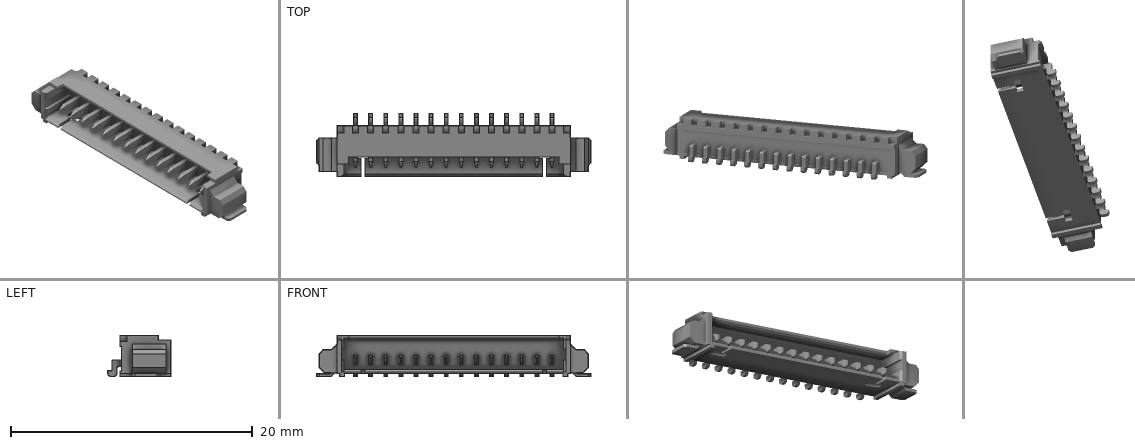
import cadquery as cq
import math


overall_width = 22.65
overall_depth = 5.2
overall_height = 3.4

housing_half_width = 9.65
housing_depth = 4.21
housing_bottom = 0.25
floor_top = 0.6
cavity_half_width = 9.05
cavity_back = 2.92
ceiling = 3.04
mouth_chamfer = 0.2
lip_chamfer = 0.15
roof_front = 1.6
cheek_front = 1.02
cheek_inner_half_width = 8.7

groove_bottom = 1.35
groove_top = 2.29
groove_depth = 0.2

rear_recess_depth = 0.14
rear_recess_bottom = 0.48
rear_recess_top = 2.5
notch_depth = 0.61
notch_floor = 2.9
notch_width = 0.5
corner_notch_width = 0.57

contact_count = 14
contact_row_length = 16.25
contact_pitch = contact_row_length / (contact_count - 1)
contact_width = 0.32
blade_bottom = 0.97
blade_top = 1.75
tip_front = 0.75
tip_length = 0.48
tip_width = 0.1
tip_taper_height = 0.18
lead_top = 1.38
lead_bottom = 0.82
lead_leg_front = 4.45
lead_leg_back = 4.87
lead_foot_top = 0.5
lead_foot_radius = 0.27
lead_bend_radius = 0.14

slot_width = 0.32
slot_back = 1.5
slot_head_width = 1.25
slot_head_length = 0.6

wing_front = 0.4
wing_back = 3.17
wing_bottom = 0.3
wing_half_width = 11.12
wing_shoulder_x = 10.12
wing_crest_x = 10.8
wing_root_top = 2.67
wing_crest_z = 2.22
wing_face_top = 1.85
wing_face_bottom = 0.75
wing_underside_x = 10.67
tab_front = 0.9
tab_back = 3.2
tab_thickness = 0.25
tab_chamfer = 0.23
tab_bend_x = 10.15
tab_bend_rise = 0.25
rail_outer_x = 9.42
rail_inner_x = 9.01

contact_xs = [i * contact_pitch - contact_row_length / 2 for i in range(contact_count)]
slot_x = (contact_xs[-1] + contact_xs[-2]) / 2


def block(x0, x1, y0, y1, z0, z1):
    """Axis-aligned box between two opposite corners."""
    return cq.Workplane("XY").box(x1 - x0, y1 - y0, z1 - z0, centered=False).translate((x0, y0, z0))


def side_profile(points, half_width):
    """Outline of (Y, Z) points, extruded evenly to both sides of X = 0."""
    return cq.Workplane("YZ").polyline(points).close().extrude(half_width, both=True)


def front_profile(points, y0, y1):
    """Outline of (X, Z) points, extruded from y0 to y1."""
    return cq.Workplane("XZ", origin=(0, y0, 0)).polyline(points).close().extrude(y0 - y1)


def both_sides(shape):
    """The shape together with its mirror image across X = 0."""
    return shape.union(shape.mirror("YZ"))


def make_shell():
    """Hollow housing with a bevelled mouth and a set-back roof."""
    shell = block(-housing_half_width, housing_half_width, 0, housing_depth, housing_bottom, overall_height)
    cavity = block(-cavity_half_width, cavity_half_width, 0, cavity_back, floor_top, ceiling)
    shell = shell.cut(cavity)

    floor_bevel = side_profile(
        [(0, floor_top - mouth_chamfer), (mouth_chamfer, floor_top), (0, floor_top)], cavity_half_width
    )
    wall_bevel = (
        cq.Workplane("XY", origin=(0, 0, floor_top - mouth_chamfer))
        .polyline([
            (cavity_half_width, 0),
            (cavity_half_width + mouth_chamfer, 0),
            (cavity_half_width, mouth_chamfer),
        ])
        .close()
        .extrude(ceiling - floor_top + mouth_chamfer)
    )
    shell = shell.cut(floor_bevel).cut(both_sides(wall_bevel))

    shell = shell.cut(block(-housing_half_width, housing_half_width, 0, cheek_front, ceiling, overall_height))
    shell = shell.cut(
        block(-cheek_inner_half_width, cheek_inner_half_width, 0, roof_front, ceiling, overall_height)
    )

    for lip_front, half_width in ((cheek_front, cavity_half_width), (roof_front, cheek_inner_half_width)):
        lip_bevel = side_profile(
            [(lip_front, ceiling), (lip_front + lip_chamfer, ceiling), (lip_front, ceiling + lip_chamfer)],
            half_width,
        )
        shell = shell.cut(lip_bevel)
    return shell


def cut_grooves(body):
    """Groove along the inner face of each side wall."""
    groove = block(
        cavity_half_width, cavity_half_width + groove_depth, 0, cavity_back, groove_bottom, groove_top
    )
    return body.cut(both_sides(groove))


def cut_rear(body):
    """Shallow recess across the rear face, and notches along the rear edge of the roof."""
    body = body.cut(block(
        -housing_half_width, housing_half_width,
        housing_depth - rear_recess_depth, housing_depth,
        rear_recess_bottom, rear_recess_top,
    ))
    notch_front = housing_depth - notch_depth
    for x in contact_xs:
        body = body.cut(block(
            x - notch_width / 2, x + notch_width / 2, notch_front, housing_depth, notch_floor, overall_height
        ))
    corner_notch = block(
        housing_half_width - corner_notch_width, housing_half_width,
        notch_front, housing_depth, notch_floor, overall_height,
    )
    return body.cut(both_sides(corner_notch))


def cut_floor_slots(body):
    """T-shaped slots through the floor, open at the mouth."""
    stem = block(slot_x - slot_width / 2, slot_x + slot_width / 2, 0, slot_back, housing_bottom, floor_top)
    head = block(
        slot_x - slot_head_width / 2, slot_x + slot_head_width / 2,
        slot_back, slot_back + slot_head_length, housing_bottom, floor_top,
    )
    return body.cut(both_sides(stem.union(head)))


def make_wing():
    """Bevelled wing on the +X side."""
    return front_profile(
        [
            (housing_half_width, wing_bottom),
            (wing_underside_x, wing_bottom),
            (wing_half_width, wing_face_bottom),
            (wing_half_width, wing_face_top),
            (wing_crest_x, wing_crest_z),
            (wing_shoulder_x, wing_crest_z),
            (housing_half_width, wing_root_top),
        ],
        wing_front,
        wing_back,
    )


def make_tab():
    """Solder tab below the +X wing, bent up 45 degrees into it, with its outer corners cut off."""
    bend_top_x = tab_bend_x + tab_thickness * math.tan(math.radians(45 / 2))
    bend_end_z = tab_thickness + tab_bend_rise
    tab = front_profile(
        [
            (tab_bend_x, 0),
            (overall_width / 2, 0),
            (overall_width / 2, tab_thickness),
            (bend_top_x, tab_thickness),
            (bend_top_x - tab_bend_rise, bend_end_z),
            (tab_bend_x - bend_end_z, bend_end_z),
        ],
        tab_front,
        tab_back,
    )
    return tab.edges("|Z and >X").chamfer(tab_chamfer)


def make_rail():
    """Foot rail under the +X side wall."""
    return block(rail_inner_x, rail_outer_x, 0, housing_depth, 0, housing_bottom)


def round_bend(lead, y, z):
    """Round the lead's edge along X that passes through (y, z)."""
    return lead.edges(cq.selectors.NearestToPointSelector((0, y, z))).fillet(lead_bend_radius)


def make_contact():
    """One contact at X = 0: pointed blade in front, stepped solder lead behind."""
    blade_back = housing_depth - rear_recess_depth
    tip_back = tip_front + tip_length
    blade_side = side_profile(
        [
            (blade_back, blade_bottom),
            (tip_back, blade_bottom),
            (tip_front, blade_bottom + tip_taper_height),
            (tip_front, blade_top - tip_taper_height),
            (tip_back, blade_top),
            (blade_back, blade_top),
        ],
        contact_width / 2,
    )
    blade_plan = (
        cq.Workplane("XY", origin=(0, 0, blade_bottom))
        .polyline([
            (-contact_width / 2, blade_back),
            (-contact_width / 2, tip_back),
            (-tip_width / 2, tip_front),
            (tip_width / 2, tip_front),
            (contact_width / 2, tip_back),
            (contact_width / 2, blade_back),
        ])
        .close()
        .extrude(blade_top - blade_bottom)
    )
    lead = side_profile(
        [
            (cavity_back, lead_top),
            (lead_leg_back, lead_top),
            (lead_leg_back, lead_foot_top),
            (overall_depth, lead_foot_top),
            (overall_depth, 0),
            (lead_leg_front, 0),
            (lead_leg_front, lead_bottom),
            (cavity_back, lead_bottom),
        ],
        contact_width / 2,
    )
    lead = lead.edges("|X and <Z").fillet(lead_foot_radius)
    lead = round_bend(lead, lead_leg_back, lead_top)
    lead = round_bend(lead, lead_leg_front, lead_bottom)
    return blade_side.intersect(blade_plan).union(lead)


housing = make_shell()
housing = cut_grooves(housing)
housing = cut_rear(housing)
housing = cut_floor_slots(housing)

side_parts = make_wing().union(make_tab()).union(make_rail())
result = housing.union(both_sides(side_parts))

contact = make_contact()
for x in contact_xs:
    result = result.union(contact.translate((x, 0, 0)))